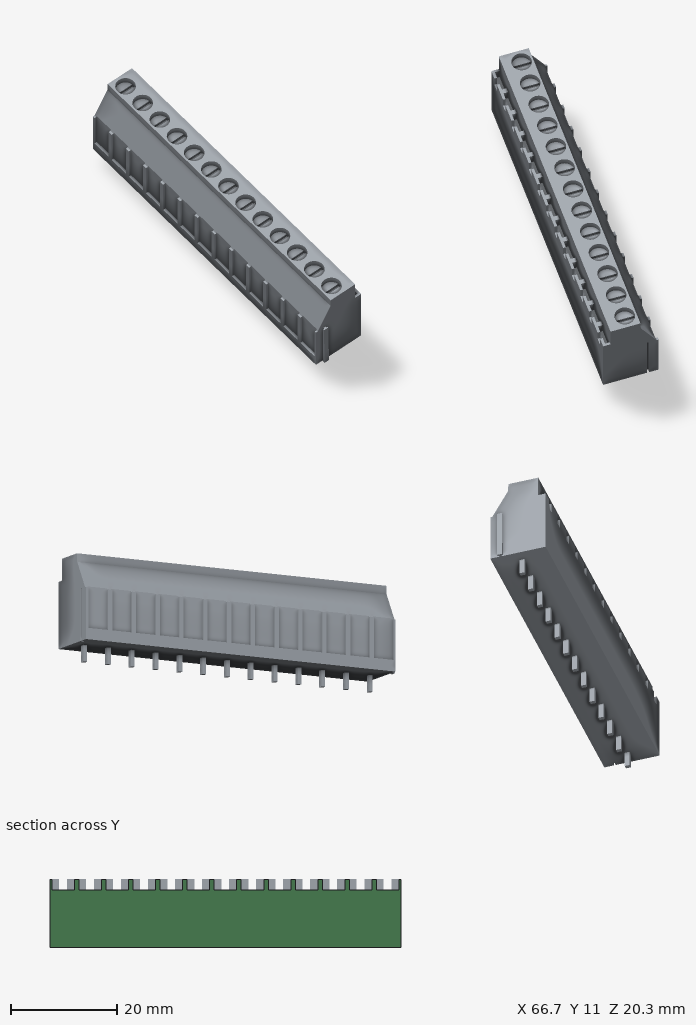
import cadquery as cq


POLES = 13
LENGTH = 66.7
TONGUE_REACH = 0.7
HOUSING_LENGTH = LENGTH - TONGUE_REACH
PITCH = HOUSING_LENGTH / POLES
DEPTH = 11.0
HEIGHT = 17.1

TOP_FRONT_Y = 3.6
TOP_LIP = 1.7
TOP_LIP_LEAN = 0.1
FRONT_FACE_TOP_Z = 10.0
FRONT_LEDGE = 0.4
BACK_LEDGE_Z = 12.9
BACK_LEDGE = 1.5

WINDOW_WIDTH = 4.2
WINDOW_SHIFT = 0.1
WINDOW_DEPTH = 0.55
WINDOW_BOTTOM_Z = 2.2

POCKET_WIDTH = 4.15
POCKET_MOUTH = 1.5
POCKET_LIP = 0.55
POCKET_DEPTH = 2.0

SCREW_Y = 5.9
SCREW_DIAMETER = 3.9
WELL_DEPTH = 1.35
DRIVER_SLOT_WIDTH = 0.7
DRIVER_SLOT_DEPTH = 0.7

PIN_Y = 5.55
PIN_WIDTH = 0.75
PIN_THICKNESS = 1.0
PIN_LENGTH = 3.2

JOINT_Y = 2.1
NECK_WIDTH = 0.4
NECK_REACH = 0.3
HEAD_WIDTH = 1.1
HEAD_TAPER = 0.15

POLE_CENTERS = [(pole + 0.5) * PITCH for pole in range(POLES)]


def box(x_center, y_start, z_start, width, depth, height):
    """Box centred on x_center that starts at y_start and z_start."""
    block = cq.Workplane("XY").box(width, depth, height, centered=(True, False, False))
    return block.translate((x_center, y_start, z_start))


def housing_block():
    """Housing profile in Y and Z, from the front foot over the top to the back foot."""
    profile = [
        (0, 0),
        (0, FRONT_FACE_TOP_Z),
        (FRONT_LEDGE, FRONT_FACE_TOP_Z),
        (TOP_FRONT_Y - TOP_LIP_LEAN, HEIGHT - TOP_LIP),
        (TOP_FRONT_Y, HEIGHT),
        (DEPTH - BACK_LEDGE, HEIGHT),
        (DEPTH - BACK_LEDGE, BACK_LEDGE_Z),
        (DEPTH, BACK_LEDGE_Z),
        (DEPTH, 0),
    ]
    return cq.Workplane("YZ").polyline(profile).close().extrude(HOUSING_LENGTH)


def tongue():
    """T-section tongue; the outer face of its head leans inward towards the top."""
    neck = box(
        HOUSING_LENGTH + NECK_REACH / 2, JOINT_Y - NECK_WIDTH / 2, 0,
        NECK_REACH, NECK_WIDTH, FRONT_FACE_TOP_Z,
    )
    head_profile = [
        (HOUSING_LENGTH + NECK_REACH, 0),
        (LENGTH, 0),
        (LENGTH - HEAD_TAPER, FRONT_FACE_TOP_Z),
        (HOUSING_LENGTH + NECK_REACH, FRONT_FACE_TOP_Z),
    ]
    head_plane = cq.Workplane("XZ", origin=(0, JOINT_Y, 0))
    head = head_plane.polyline(head_profile).close().extrude(HEAD_WIDTH / 2, both=True)
    return neck.union(head)


def groove():
    """Straight groove in the left end, as wide as the neck of the tongue."""
    return box(
        TONGUE_REACH / 2, JOINT_Y - NECK_WIDTH / 2, 0,
        TONGUE_REACH, NECK_WIDTH, FRONT_FACE_TOP_Z,
    )


def front_window(x):
    window_height = HEIGHT - WINDOW_BOTTOM_Z
    return box(x + WINDOW_SHIFT, 0, WINDOW_BOTTOM_Z, WINDOW_WIDTH, WINDOW_DEPTH, window_height)


def marker_pocket(x):
    floor_z = BACK_LEDGE_Z - POCKET_DEPTH
    wide_part = box(x, DEPTH - BACK_LEDGE, floor_z, POCKET_WIDTH, BACK_LEDGE - POCKET_LIP, POCKET_DEPTH)
    mouth = box(x, DEPTH - POCKET_LIP, floor_z, POCKET_MOUTH, POCKET_LIP, POCKET_DEPTH)
    return wide_part.union(mouth)


def screw_well(x):
    screw_head_z = HEIGHT - WELL_DEPTH
    well_plane = cq.Workplane("XY", origin=(x, SCREW_Y, screw_head_z))
    well = well_plane.circle(SCREW_DIAMETER / 2).extrude(WELL_DEPTH)
    driver_slot = box(
        x, SCREW_Y - SCREW_DIAMETER / 2, screw_head_z - DRIVER_SLOT_DEPTH,
        DRIVER_SLOT_WIDTH, SCREW_DIAMETER, DRIVER_SLOT_DEPTH,
    )
    return well.union(driver_slot)


def solder_pin(x):
    return box(x, PIN_Y - PIN_THICKNESS / 2, -PIN_LENGTH, PIN_WIDTH, PIN_THICKNESS, PIN_LENGTH)


result = housing_block().cut(groove()).union(tongue())
for pole_x in POLE_CENTERS:
    result = result.cut(front_window(pole_x))
    result = result.cut(marker_pocket(pole_x))
    result = result.cut(screw_well(pole_x))
    result = result.union(solder_pin(pole_x))